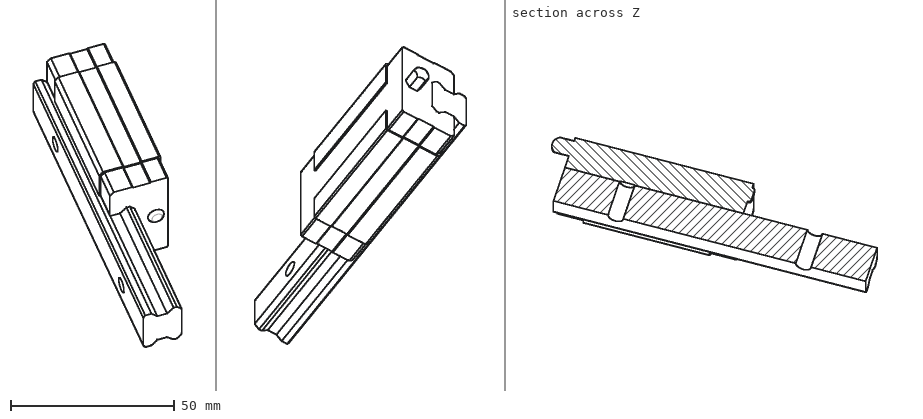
import cadquery as cq
import math

rail_length = 99.9
rail_height = 12.5
rail_half_width = 7.5
rail_top_half_width = 5.9
neck_half_width = 5.6
base_chamfer_y = 0.6
base_chamfer_z = 1.0
base_side_top = 2.7
neck_bottom = 4.6
neck_top = 7.7
head_side_bottom = 9.9
head_side_top = 10.9

hole_diameter = 4.8
first_hole_x = 19.9
hole_pitch = 60.0
hole_count = 2

cap_length = 8.4
block_length = 40.4
carriage_length = block_length + 2 * cap_length
block_bottom = 3.9
block_top = 24.0
block_half_width = 17.0
cap_inset = 0.5
bottom_chamfer = 1.3
top_chamfer = 0.5

groove_bottom = 11.7
groove_top = 17.8
groove_depth = 0.3

recess_half_width = 7.2
recess_depth = cap_inset

nipple_y = 19.4
nipple_across_flats = 4.9
nipple_length = 6.2
nipple_dome_radius = 3.2
plug_face_diameter = 3.3
plug_rounding = 1.0


def extrude_mirrored(half_outline, start_x, length):
    """Extrude along +X the outline of (Y, Z) points with Z > 0 joined to its mirror image in Z = 0."""
    mirrored = [(y, -z) for y, z in reversed(half_outline)]
    return cq.Workplane("YZ", origin=(start_x, 0, 0)).polyline(half_outline + mirrored).close().extrude(length)


def make_rail_blank():
    return extrude_mirrored(
        [
            (0, rail_half_width - base_chamfer_z),
            (base_chamfer_y, rail_half_width),
            (base_side_top, rail_half_width),
            (neck_bottom, neck_half_width),
            (neck_top, neck_half_width),
            (head_side_bottom, rail_half_width),
            (head_side_top, rail_half_width),
            (rail_height, rail_top_half_width),
        ],
        0,
        rail_length,
    )


def make_rail():
    rail = make_rail_blank()
    for index in range(hole_count):
        hole_x = first_hole_x + index * hole_pitch
        hole = (
            cq.Workplane("XZ", origin=(hole_x, 0, 0))
            .circle(hole_diameter / 2)
            .extrude(-rail_height)
        )
        rail = rail.cut(hole)
    return rail


def make_carriage_section(start_x, length, inset):
    """A length of the carriage whose outer faces are set in from those of the block."""
    bottom = block_bottom + inset
    top = block_top - inset
    side = block_half_width - inset
    return extrude_mirrored(
        [
            (bottom, side - bottom_chamfer),
            (bottom + bottom_chamfer, side),
            (groove_bottom, side),
            (groove_bottom + groove_depth, side - groove_depth),
            (groove_top - groove_depth, side - groove_depth),
            (groove_top, side),
            (top - top_chamfer, side),
            (top, side - top_chamfer),
        ],
        start_x,
        length,
    )


def make_block():
    block = make_carriage_section(cap_length, block_length, 0)
    recess = cq.Workplane("XY").box(
        block_length, recess_depth, 2 * recess_half_width, centered=(False, False, True)
    )
    return block.cut(recess.translate((cap_length, block_top - recess_depth, 0)))


def make_nipple():
    """Hexagonal prism with flats facing +Z and -Z, its free end rounded by a sphere."""
    across_corners = nipple_across_flats / math.cos(math.pi / 6)
    hexagon = (
        cq.Workplane("YZ", origin=(0, nipple_y, 0)).polygon(6, across_corners).extrude(-nipple_length)
    )
    sphere_x = nipple_dome_radius - nipple_length
    rounding = cq.Workplane("YZ", origin=(sphere_x, nipple_y, 0)).sphere(nipple_dome_radius)
    core = cq.Workplane("YZ", origin=(sphere_x, nipple_y, 0)).circle(nipple_dome_radius).extrude(-sphere_x)
    return hexagon.intersect(rounding.union(core))


def make_plug():
    """Disc on the carriage's +X end, its rim rounded from the end face out to its flat face."""
    face_radius = plug_face_diameter / 2
    outer_radius = face_radius + plug_rounding
    arc_offset = plug_rounding * math.sqrt(0.5)
    half_section = (
        cq.Workplane("XY", origin=(carriage_length, nipple_y, 0))
        .lineTo(0, outer_radius)
        .threePointArc((arc_offset, face_radius + arc_offset), (plug_rounding, face_radius))
        .lineTo(plug_rounding, 0)
        .close()
    )
    return half_section.revolve(360, (0, 0, 0), (1, 0, 0))


def make_carriage():
    carriage = make_block()
    for cap_x in (0, cap_length + block_length):
        carriage = carriage.union(make_carriage_section(cap_x, cap_length, cap_inset))
    carriage = carriage.cut(make_rail_blank())
    return carriage.union(make_nipple()).union(make_plug())


rail = make_rail()
carriage = make_carriage()
result = cq.Compound.makeCompound([rail.val(), *carriage.solids().vals()])